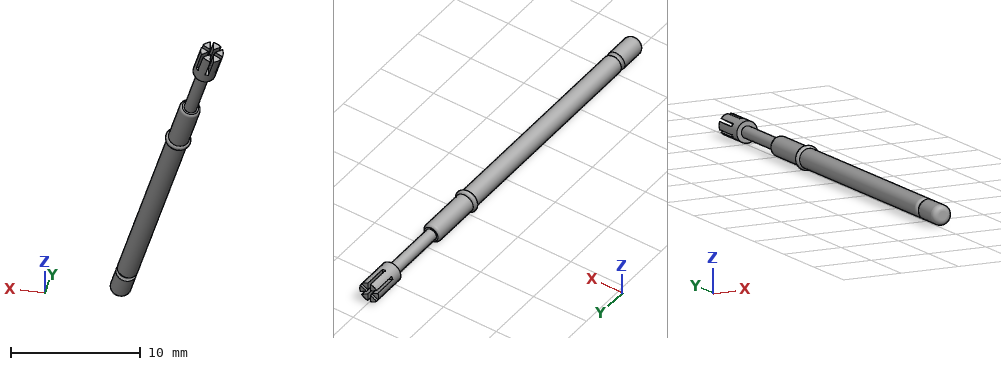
import cadquery as cq
import math

LENGTH = 35.7
TIP_Y = LENGTH / 2
TAIL_Y = -LENGTH / 2

HEAD_RADIUS = 0.9
HEAD_LENGTH = 3.0
STEM_RADIUS = 0.5
SLOT_COUNT = 3
SLOT_STEP = 180 / SLOT_COUNT
SLOT_WIDTH = 0.25
SLOT_DEPTH = 2.0
SLOT_SPAN = 3 * HEAD_RADIUS

BARREL_RADIUS = 0.82
BARREL_TOP_Y = TIP_Y - 8.32
TAIL_ROUND = 0.43

SHOULDER_LENGTH = 0.3
SHOULDER_DROP = 0.18
RIM_RADIUS = BARREL_RADIUS - SHOULDER_DROP
SHOULDER_ARC_RADIUS = (SHOULDER_LENGTH**2 + SHOULDER_DROP**2) / (2 * SHOULDER_DROP)

RING_RADIUS = 1.0
RING_BEAD_RADIUS = 0.3
RING_Y = TIP_Y - 13.05
RING_SINK = BARREL_RADIUS - (RING_RADIUS - RING_BEAD_RADIUS)
RING_HALF_WIDTH = math.sqrt(RING_BEAD_RADIUS**2 - RING_SINK**2)

GROOVE_TOP_Y = TIP_Y - 32.55
GROOVE_THROAT_Y = GROOVE_TOP_Y - SHOULDER_LENGTH
GROOVE_BOTTOM_Y = GROOVE_THROAT_Y - SHOULDER_LENGTH


def turned_body():
    """Revolve the half profile (radius, y) of barrel, stem and head about Y."""
    head_base_y = TIP_Y - HEAD_LENGTH
    profile = (
        cq.Workplane("XY")
        .moveTo(0, TAIL_Y)
        .lineTo(BARREL_RADIUS - TAIL_ROUND, TAIL_Y)
        .tangentArcPoint((BARREL_RADIUS, TAIL_Y + TAIL_ROUND), relative=False)
        .lineTo(BARREL_RADIUS, GROOVE_BOTTOM_Y)
        .radiusArc((RIM_RADIUS, GROOVE_THROAT_Y), SHOULDER_ARC_RADIUS)
        .radiusArc((BARREL_RADIUS, GROOVE_TOP_Y), -SHOULDER_ARC_RADIUS)
        .lineTo(BARREL_RADIUS, RING_Y - RING_HALF_WIDTH)
        .threePointArc((RING_RADIUS, RING_Y), (BARREL_RADIUS, RING_Y + RING_HALF_WIDTH))
        .lineTo(BARREL_RADIUS, BARREL_TOP_Y - SHOULDER_LENGTH)
        .tangentArcPoint((RIM_RADIUS, BARREL_TOP_Y), relative=False)
        .lineTo(STEM_RADIUS, BARREL_TOP_Y)
        .lineTo(STEM_RADIUS, head_base_y)
        .lineTo(HEAD_RADIUS, head_base_y)
        .lineTo(HEAD_RADIUS, TIP_Y)
        .lineTo(0, TIP_Y)
        .close()
    )
    return profile.revolve(360, (0, 0, 0), (0, 1, 0))


def head_slots():
    """Slots across the full head, evenly turned about Y, the first one along Z."""
    slot = cq.Workplane("XY").box(SLOT_WIDTH, SLOT_DEPTH, SLOT_SPAN)
    slot = slot.translate((0, TIP_Y - SLOT_DEPTH / 2, 0))
    slots = slot
    for index in range(1, SLOT_COUNT):
        slots = slots.union(slot.rotate((0, 0, 0), (0, 1, 0), index * SLOT_STEP))
    return slots


result = turned_body().cut(head_slots())